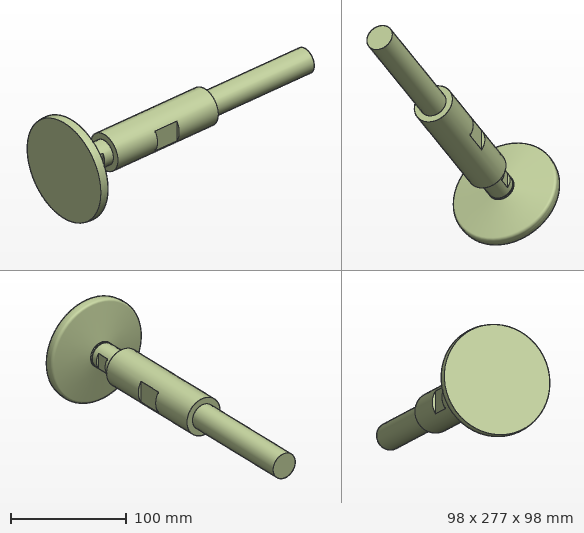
import cadquery as cq
import math

total_length = 277.0

plate_diameter = 98.0
bottom_diameter = 97.0
rim_start = 4.0
rim_end = 6.6
shoulder_radius = 2.8
cone_angle = math.radians(10)
collar_height = 1.7
collar_inset = 0.5

rod_diameter = 24.0
sleeve_diameter = 36.0
sleeve_start = 46.3
sleeve_length = 115.2

sleeve_flat_start = 91.7
sleeve_flat_length = 25.0
sleeve_across_flats = 30.0
rod_flat_start = 23.8
rod_flat_length = 12.5
rod_across_flats = 19.0

rod_radius = rod_diameter / 2
rim_radius = plate_diameter / 2
shoulder_centre_radius = rim_radius - shoulder_radius


def shoulder_point(angle):
    """Point on the shoulder arc, with the angle counted from the radial direction."""
    return (
        shoulder_centre_radius + shoulder_radius * math.cos(angle),
        rim_end + shoulder_radius * math.sin(angle),
    )


cone_normal_angle = math.pi / 2 - cone_angle
cone_start = shoulder_point(cone_normal_angle)
cone_top = cone_start[1] + (cone_start[0] - rod_radius) * math.tan(cone_angle)
plate_top = cone_top + collar_height


def make_foot_plate():
    """Conical plate with a rounded shoulder and a short tapered collar."""
    collar_top_radius = rod_radius - collar_inset
    return (
        cq.Workplane("XY")
        .lineTo(bottom_diameter / 2, 0)
        .lineTo(rim_radius, rim_start)
        .lineTo(rim_radius, rim_end)
        .threePointArc(shoulder_point(cone_normal_angle / 2), cone_start)
        .lineTo(rod_radius, cone_top)
        .lineTo(collar_top_radius, plate_top)
        .lineTo(0, plate_top)
        .close()
        .revolve(360, (0, 0, 0), (0, 1, 0))
    )


def cylinder_along_y(diameter, start, length):
    """Cylinder on the Y axis from start towards +Y."""
    return cq.Workplane(cq.Solid.makeCylinder(
        diameter / 2, length, cq.Vector(0, start, 0), cq.Vector(0, 1, 0)
    ))


def cut_wrench_flats(body, diameter, across_flats, start, length):
    """Cut two opposite flats on the -X and +X sides of a round section."""
    for side in (-1, 1):
        cutter = cq.Workplane("XY").box(diameter, length, diameter).translate(
            (side * (across_flats + diameter) / 2, start + length / 2, 0)
        )
        body = body.cut(cutter)
    return body


def make_spindle():
    """Rod with a thicker sleeve section and two pairs of wrench flats."""
    rod = cylinder_along_y(rod_diameter, plate_top, total_length - plate_top)
    sleeve = cylinder_along_y(sleeve_diameter, sleeve_start, sleeve_length)
    body = rod.union(sleeve)
    body = cut_wrench_flats(
        body, sleeve_diameter, sleeve_across_flats, sleeve_flat_start, sleeve_flat_length
    )
    return cut_wrench_flats(
        body, rod_diameter, rod_across_flats, rod_flat_start, rod_flat_length
    )


foot_plate = make_foot_plate()
spindle = make_spindle()

result = cq.Compound.makeCompound([foot_plate.val(), spindle.val()])